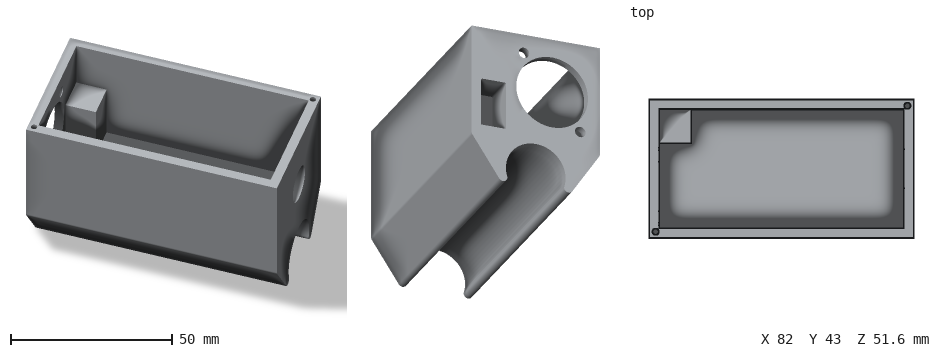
import cadquery as cq
import math

length = 82.0
width = 43.0
height = 51.6
wall = 3.0
floor_z = 17.5

far_wall_top = 2.9
far_wall_base = 3.1

bore_radius = 10.0
bore_z = 4.75
edge_radius = 1.5
flank_top_z = 14.6

opening_z = 33.45
large_opening_diameter = 24.0
large_opening_y = -5.5
small_opening_diameter = 12.0
end_screw_diameter = 3.5
end_screw_offset_y = 9.4
end_screw_offset_z = 11.9

lid_screw_diameter = 2.0
lid_screw_inset = 2.0
lid_screw_depth = 9.8

socket_width = 8.4
socket_height = 15.8
socket_bottom_z = 18.1
socket_inset = 3.2
socket_corner_radius = 0.5
housing_wall = 2.0
housing_end = 12.95

half_length = length / 2
half_width = width / 2
socket_y = half_width - socket_inset - socket_width / 2


def outer_body():
    """Extrude the end profile: a box whose tapered legs end in round lips."""
    lip_z = edge_radius
    reach = bore_radius + edge_radius
    lip_y = math.sqrt(reach**2 - (bore_z - lip_z) ** 2)
    inner_y = lip_y * bore_radius / reach
    inner_z = bore_z + (lip_z - bore_z) * bore_radius / reach

    corner_y = half_width - lip_y
    corner_z = flank_top_z - lip_z
    normal = math.atan2(corner_z, corner_y) - math.acos(edge_radius / math.hypot(corner_y, corner_z))
    outer_y = lip_y + edge_radius * math.cos(normal)
    outer_z = lip_z + edge_radius * math.sin(normal)

    profile = (
        cq.Workplane("YZ", origin=(-half_length, 0, 0))
        .moveTo(-half_width, height)
        .lineTo(half_width, height)
        .lineTo(half_width, flank_top_z)
        .lineTo(outer_y, outer_z)
        .threePointArc((lip_y, 0), (inner_y, inner_z))
        .threePointArc((0, bore_z + bore_radius), (-inner_y, inner_z))
        .threePointArc((-lip_y, 0), (-outer_y, outer_z))
        .lineTo(-half_width, flank_top_z)
        .close()
    )
    body = profile.extrude(length)
    flank_edges = cq.selectors.BoxSelector(
        (-length, -width, flank_top_z - 0.1), (length, width, flank_top_z + 0.1)
    )
    return body.edges(flank_edges).fillet(edge_radius)


def cavity():
    """Open-topped interior with one leaning wall."""
    near_y = -half_width + wall
    far_base_y = half_width - far_wall_base
    far_top_y = half_width - far_wall_top
    return (
        cq.Workplane("YZ", origin=(-half_length + wall, 0, 0))
        .polyline([(near_y, floor_z), (far_base_y, floor_z), (far_top_y, height), (near_y, height)])
        .close()
        .extrude(length - 2 * wall)
    )


def socket_housing():
    """Block in the corner of the cavity that encloses the socket."""
    housing_y = socket_y - socket_width / 2 - housing_wall
    housing_top = socket_bottom_z + socket_height + housing_wall
    return cq.Workplane("XY").box(
        housing_end - wall / 2,
        half_width - wall / 2 - housing_y,
        housing_top - floor_z + wall / 2,
        centered=False,
    ).translate((-half_length + wall / 2, housing_y, floor_z - wall / 2))


def socket():
    """Blind pocket, rounded on its two upper edges."""
    return (
        cq.Workplane("XY")
        .box(housing_end - housing_wall, socket_width, socket_height, centered=(False, True, False))
        .edges("|X and >Z")
        .fillet(socket_corner_radius)
        .translate((-half_length, socket_y, socket_bottom_z))
    )


def end_hole(x, y, z, diameter):
    """Cylinder that cuts one end wall, starting at its -X face."""
    return cq.Workplane("YZ", origin=(x, y, z)).circle(diameter / 2).extrude(wall)


result = outer_body().cut(cavity()).union(socket_housing()).cut(socket())

result = result.cut(end_hole(-half_length, large_opening_y, opening_z, large_opening_diameter))
result = result.cut(end_hole(half_length - wall, 0, opening_z, small_opening_diameter))
for side in (-1, 1):
    screw_y = large_opening_y + side * end_screw_offset_y
    screw_z = opening_z + side * end_screw_offset_z
    result = result.cut(end_hole(-half_length, screw_y, screw_z, end_screw_diameter))

    lid_screw = (
        cq.Workplane("XY", origin=(0, 0, height - lid_screw_depth))
        .center(side * (half_length - lid_screw_inset), side * (half_width - lid_screw_inset))
        .circle(lid_screw_diameter / 2)
        .extrude(lid_screw_depth)
    )
    result = result.cut(lid_screw)